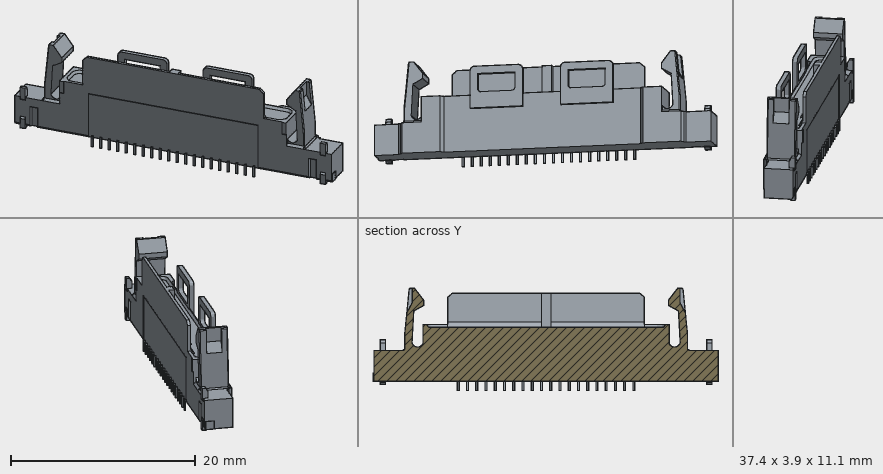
import cadquery as cq


body_half_length = 18.65
front_y = -1.83
wing_back_y = 1.3
wing_top_z = 3.35
middle_back_y = 1.53
skin_depth = 0.1
underside_bevel_height = 0.2
gate_nub = (0.07, 0.95, 0.95)

shoulder_half_length = 13.33
shoulder_top_z = 6.15
pad_back_y = 1.95
pad_inner_x = 11.25
pad_inner_slope = 0.37
pad_outer_x = 15.45
pad_outer_slope = 0.22
pad_step_x = 15.9

pocket_half_length = 12.92
pocket_front_y = -1.45
pocket_back_y = 1.45
pocket_depth = 0.3
pocket_floor_z = shoulder_top_z - pocket_depth
pocket_slope = 0.22
pocket_corner_radius = 0.9

plate_half_length = 10.65
plate_top_z = 9.55
plate_back_y = -1.5
plate_foot_y = -1.05
plate_foot_top_z = 6.42
plate_corner = (0.52, 0.45)
notch_back_y = -0.7
notch_width = 1.27
notch_offsets = (2.73, 7.15)
key_width = 1.05
key_back_y = -0.85

panel_half_length = 9.97
panel_top_z = 5.2
slot_x = 16.4
slot_width = 0.9
slot_depth = 0.3
slot_draft = 18
slot_top_z = 2.35

proud_y = -1.95
nub_width = 0.5
nub_bottom_z = 4.75

pin_count = 20
pin_span = 19.0
pin_width = 0.22
pin_top_z = 0.22
pin_bottom_z = -1.0
pin_back_y = -1.8
pin_root_y = front_y + 2 * skin_depth

tab_x = 17.65
tab_width = 0.6
tab_back_y = -1.3
tab_bevel = 0.22
upper_tab_top_z = 4.5
upper_tab_bottom_z = 3.02
upper_tab_lip = 0.1
upper_tab_shoulder = 0.37
lower_tab_top_z = 1.0
lower_tab_bottom_z = -0.35
lower_tab_lip = 0.22

latch_front_y = -1.53
latch_back_y = 1.65
latch_base_top_z = 3.6
latch_top_z = 10.1
latch_edge_bevel = 0.1
latch_outer_x = 15.3
latch_top_outer_x = 14.82
latch_top_inner_x = 14.23
latch_bend_z = 5.08
hook_tip_x = 13.2
hook_tip_top_z = 8.77
hook_tip_bottom_z = 8.2
neck_top_x = 14.3
neck_top_z = 7.6
neck_bottom_x = 14.5
neck_bottom_z = 4.2
gap_middle_x = 13.93
gap_bottom_z = 3.75
gap_inner_z = 4.07
latch_slope_end_x = 15.55
latch_slope_top_z = 3.47
grip_front_y = -0.75
grip_back_y = 0.97
grip_bottom_z = 7.4
grip_floor_z = 8.5
grip_floor_x = 14.5
grip_bottom_x = 15.1

loop_x = 5.0
loop_width = 5.8
loop_front_y = 1.42
loop_bottom_z = 4.65
loop_top_z = 9.25
loop_frame = 0.82
loop_corner_radius = 0.5
window_bottom_z = 6.42
window_corner_radius = 0.37


def block(x_range, y_range, z_range):
    """Box given by its limits along each axis."""
    sizes = [high - low for low, high in (x_range, y_range, z_range)]
    return cq.Workplane("XY").box(*sizes, centered=False).translate((x_range[0], y_range[0], z_range[0]))


def centred_block(x, width, y_range, z_range):
    return block((x - width / 2, x + width / 2), y_range, z_range)


def side_profile(points, x, width):
    """Extrude a (y, z) outline along X, centred on x."""
    return cq.Workplane("YZ").polyline(points).close().extrude(width / 2, both=True).translate((x, 0, 0))


def both_ends(left_solid):
    """A left-end solid together with its mirror image at the right end."""
    return left_solid.union(left_solid.mirror("YZ"))


def make_rear_pad(x_range, height):
    """Left rear pad, limited to an X range and a height."""
    outline = [
        (-pad_step_x, 0),
        (-pad_step_x, middle_back_y),
        (-pad_outer_x - pad_outer_slope, middle_back_y),
        (-pad_outer_x, pad_back_y),
        (-pad_inner_x, pad_back_y),
        (-pad_inner_x + pad_inner_slope, middle_back_y),
        (-pad_inner_x + pad_inner_slope, 0),
    ]
    pad = cq.Workplane("XY").polyline(outline).close().extrude(height)
    return pad.intersect(block(x_range, (0, pad_back_y), (0, height)))


def make_body():
    wings = block((-body_half_length, body_half_length), (front_y, wing_back_y), (0, wing_top_z))
    shoulder = block(
        (-shoulder_half_length, shoulder_half_length), (front_y, middle_back_y), (0, shoulder_top_z)
    )
    low_pad = make_rear_pad((-pad_step_x, -shoulder_half_length), wing_top_z)
    high_pad = make_rear_pad((-shoulder_half_length, -pad_inner_x + pad_inner_slope), shoulder_top_z)
    body = wings.union(shoulder).union(both_ends(low_pad.union(high_pad)))
    bevel_points = [(front_y, 0), (front_y + skin_depth, 0), (front_y, underside_bevel_height)]
    bevel = side_profile(bevel_points, 0, 2 * body_half_length)
    gate_width, gate_depth, gate_height = gate_nub
    gate = block(
        (body_half_length, body_half_length + gate_width),
        (front_y + skin_depth, front_y + skin_depth + gate_depth),
        (0, gate_height),
    )
    return body.cut(bevel).union(gate)


def make_pocket():
    """Round-cornered pocket whose walls slope in towards its floor."""
    length = 2 * pocket_half_length
    width = pocket_back_y - pocket_front_y
    middle_y = (pocket_back_y + pocket_front_y) / 2
    clear_height = 2 * pocket_depth
    pocket = cq.Workplane("XY").box(length, width, clear_height, centered=(True, True, False))
    pocket = pocket.edges("|Z").fillet(pocket_corner_radius)
    pocket = pocket.faces("<Z").chamfer(pocket_depth, pocket_slope)
    return pocket.translate((0, middle_y, pocket_floor_z))


def make_front_recesses():
    panel = block(
        (-panel_half_length, panel_half_length), (front_y, front_y + skin_depth), (0, panel_top_z)
    )
    slot = (
        cq.Workplane("XZ", origin=(-slot_x, front_y, 0))
        .rect(slot_width, 2 * slot_top_z)
        .extrude(-slot_depth, taper=slot_draft)
    )
    return panel.union(both_ends(slot))


def make_plate():
    """Plate with clipped upper corners, a sloped foot behind it and a central key."""
    corner_length, corner_height = plate_corner
    plate = (
        cq.Workplane("XZ", origin=(0, plate_back_y, 0))
        .moveTo(-plate_half_length, pocket_floor_z)
        .lineTo(-plate_half_length, plate_top_z - corner_height)
        .lineTo(-plate_half_length + corner_length, plate_top_z)
        .lineTo(plate_half_length - corner_length, plate_top_z)
        .lineTo(plate_half_length, plate_top_z - corner_height)
        .lineTo(plate_half_length, pocket_floor_z)
        .close()
        .extrude(plate_back_y - front_y)
    )
    foot = side_profile(
        [(plate_back_y, pocket_floor_z), (plate_back_y, plate_foot_top_z), (plate_foot_y, pocket_floor_z)],
        0,
        2 * plate_half_length,
    )
    key = centred_block(0, key_width, (front_y, key_back_y), (pocket_floor_z, plate_top_z))
    return plate.union(foot).union(key)


def make_notches():
    """Notches in the pocket floor that carry the slope of the plate foot further down."""
    foot_slope = (plate_foot_top_z - pocket_floor_z) / (plate_foot_y - plate_back_y)
    notch_depth = foot_slope * (notch_back_y - plate_foot_y)
    points = [
        (plate_foot_y, pocket_floor_z),
        (notch_back_y, pocket_floor_z),
        (notch_back_y, pocket_floor_z - notch_depth),
    ]
    notches = cq.Workplane("XY")
    for offset in notch_offsets:
        notches = notches.union(both_ends(side_profile(points, -offset, notch_width)))
    return notches


def make_nub():
    return block(
        (-shoulder_half_length, -shoulder_half_length + nub_width),
        (proud_y, front_y),
        (nub_bottom_z, shoulder_top_z),
    )


def make_upper_tab():
    points = [
        (tab_back_y, upper_tab_bottom_z),
        (tab_back_y, upper_tab_top_z - upper_tab_shoulder),
        (tab_back_y - tab_bevel, upper_tab_top_z),
        (proud_y, upper_tab_top_z),
        (proud_y, upper_tab_bottom_z + upper_tab_lip),
        (front_y, upper_tab_bottom_z),
    ]
    return side_profile(points, -tab_x, tab_width)


def make_lower_tab():
    points = [
        (tab_back_y, lower_tab_top_z),
        (front_y, lower_tab_top_z),
        (proud_y, lower_tab_top_z - lower_tab_lip),
        (proud_y, lower_tab_bottom_z),
        (tab_back_y - tab_bevel, lower_tab_bottom_z),
        (tab_back_y, lower_tab_bottom_z + tab_bevel),
    ]
    return side_profile(points, -tab_x, tab_width)


def make_pins():
    pins = cq.Workplane("XY")
    pitch = pin_span / (pin_count - 1)
    for index in range(pin_count):
        x = -pin_span / 2 + index * pitch
        pins = pins.union(centred_block(x, pin_width, (proud_y, pin_back_y), (pin_bottom_z, pin_top_z)))
        pins = pins.union(centred_block(x, pin_width, (proud_y, pin_root_y), (0, pin_top_z)))
    return pins


def make_latch_arm():
    """Hooked arm with a bevelled outer face and a grip recess near its top."""
    arm = (
        cq.Workplane("XZ", origin=(0, latch_back_y, 0))
        .moveTo(-latch_outer_x, latch_base_top_z)
        .lineTo(-latch_outer_x, latch_bend_z)
        .lineTo(-latch_top_outer_x, latch_top_z - latch_edge_bevel)
        .lineTo(-latch_top_outer_x + latch_edge_bevel, latch_top_z)
        .lineTo(-latch_top_inner_x, latch_top_z)
        .lineTo(-hook_tip_x, hook_tip_top_z)
        .lineTo(-hook_tip_x, hook_tip_bottom_z)
        .lineTo(-neck_top_x, neck_top_z)
        .lineTo(-neck_bottom_x, neck_bottom_z)
        .threePointArc((-gap_middle_x, gap_bottom_z), (-shoulder_half_length, gap_inner_z))
        .lineTo(-shoulder_half_length, latch_base_top_z)
        .close()
        .extrude(latch_back_y - latch_front_y)
    )
    lower_middle = (-latch_outer_x, (latch_base_top_z + latch_bend_z) / 2)
    upper_middle = (-(latch_outer_x + latch_top_outer_x) / 2, (latch_bend_z + latch_top_z) / 2)
    for y in (latch_front_y, latch_back_y):
        lower_edge = cq.selectors.NearestToPointSelector((lower_middle[0], y, lower_middle[1]))
        upper_edge = cq.selectors.NearestToPointSelector((upper_middle[0], y, upper_middle[1]))
        arm = arm.edges(lower_edge + upper_edge).chamfer(latch_edge_bevel)
    grip = (
        cq.Workplane("XZ", origin=(0, grip_back_y, 0))
        .moveTo(-latch_outer_x, grip_bottom_z)
        .lineTo(-grip_bottom_x, grip_bottom_z)
        .lineTo(-grip_floor_x, grip_floor_z)
        .lineTo(-grip_floor_x, latch_top_z)
        .lineTo(-latch_outer_x, latch_top_z)
        .close()
        .extrude(grip_back_y - grip_front_y)
    )
    return arm.cut(grip)


def make_latch_base():
    """Block under the arm, sloped at the front, the back and the outer end."""
    block_points = [
        (front_y, wing_top_z),
        (latch_front_y, latch_base_top_z),
        (latch_back_y, latch_base_top_z),
        (pad_back_y, wing_top_z),
    ]
    base_length = latch_outer_x - shoulder_half_length
    base = side_profile(block_points, -shoulder_half_length - base_length / 2, base_length)
    end_slope = (
        cq.Workplane("XZ", origin=(0, middle_back_y, 0))
        .moveTo(-latch_slope_end_x, wing_top_z)
        .lineTo(-latch_outer_x, latch_slope_top_z)
        .lineTo(-latch_outer_x, wing_top_z)
        .close()
        .extrude(middle_back_y - latch_front_y)
    )
    return base.union(end_slope)


def make_loop():
    y_range = (loop_front_y, pad_back_y)
    frame = centred_block(-loop_x, loop_width, y_range, (loop_bottom_z, loop_top_z))
    frame = frame.edges("|Y and >Z").fillet(loop_corner_radius)
    window = centred_block(
        -loop_x, loop_width - 2 * loop_frame, y_range, (window_bottom_z, loop_top_z - loop_frame)
    )
    window = window.edges("|Y and <Z").fillet(window_corner_radius)
    return frame.cut(window)


left_features = (
    make_nub(),
    make_upper_tab(),
    make_lower_tab(),
    make_latch_base(),
    make_latch_arm(),
    make_loop(),
)

result = make_body().cut(make_pocket()).union(make_plate()).cut(make_notches()).cut(make_front_recesses())
for feature in left_features:
    result = result.union(both_ends(feature))
result = result.union(make_pins())